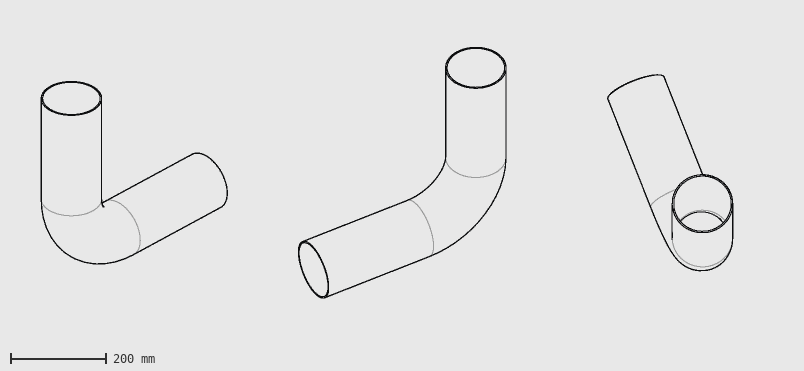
import cadquery as cq

overall_length = 457.0
outer_diameter = 127.0
inner_diameter = 120.5
straight_length = 254.0

bend_radius = overall_length - straight_length - outer_diameter / 2


def ring(plane):
    """Pipe cross-section centred on the plane's origin."""
    return cq.Workplane(plane).circle(outer_diameter / 2).circle(inner_diameter / 2)


upper_joint = cq.Plane(origin=(0, -bend_radius, 0), xDir=(1, 0, 0), normal=(0, 0, 1))
lower_joint = cq.Plane(origin=(0, 0, -bend_radius), xDir=(1, 0, 0), normal=(0, 1, 0))

vertical_leg = ring(upper_joint).extrude(straight_length)
horizontal_leg = ring(lower_joint).extrude(straight_length)

elbow = ring(upper_joint).revolve(90, (0, bend_radius, 0), (1, bend_radius, 0))

result = elbow.union(vertical_leg).union(horizontal_leg)